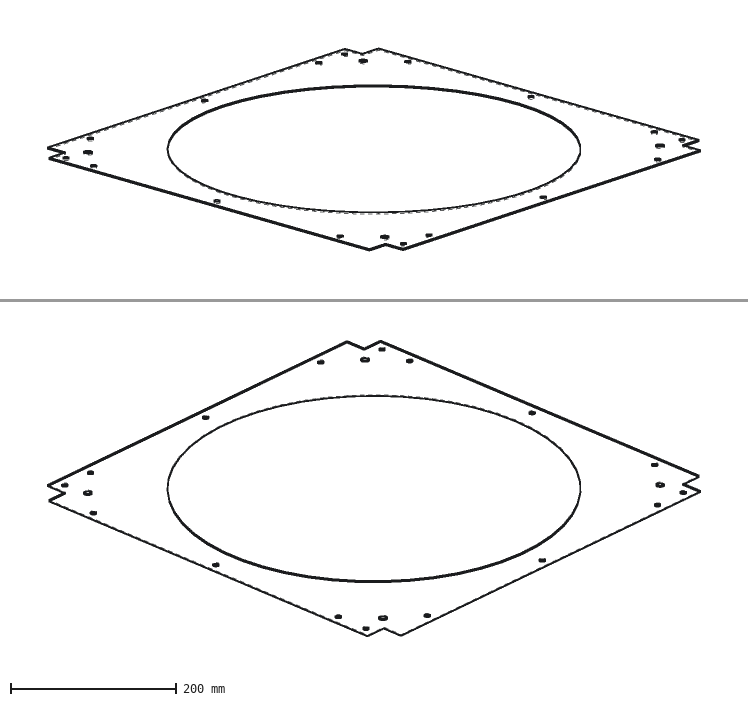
import cadquery as cq

side = 586.0
thickness = 2.0
notch = 29.0
opening_diameter = 500.0

rim_hole_diameter = 7.0
rim_inset = 13.5
rim_offset = side / 2 - rim_inset
rim_spacing = 203.5
extra_offset = 249.0

corner_hole_diameter = 10.0
corner_offset = 245.0


def make_plate():
    """Square plate with a square notch cut from every corner."""
    plate = cq.Workplane("XY").box(side, side, thickness)
    cutters = (
        cq.Workplane("XY")
        .rect(side, side, forConstruction=True)
        .vertices()
        .box(2 * notch, 2 * notch, 2 * thickness)
    )
    return plate.cut(cutters)


def rim_points():
    """Three evenly spaced holes per edge, plus one extra near one end of each edge."""
    points = []
    for edge in (-rim_offset, rim_offset):
        for along in (-rim_spacing, 0, rim_spacing):
            points.append((along, edge))
            points.append((edge, along))
    points += [
        (extra_offset, rim_offset),
        (-extra_offset, -rim_offset),
        (-rim_offset, extra_offset),
        (rim_offset, -extra_offset),
    ]
    return points


def corner_points():
    return [(x, y) for x in (-corner_offset, corner_offset) for y in (-corner_offset, corner_offset)]


def drill(plate, points, diameter):
    return plate.faces(">Z").workplane(centerOption="CenterOfBoundBox").pushPoints(points).hole(diameter)


result = make_plate()
result = drill(result, [(0, 0)], opening_diameter)
result = drill(result, rim_points(), rim_hole_diameter)
result = drill(result, corner_points(), corner_hole_diameter)